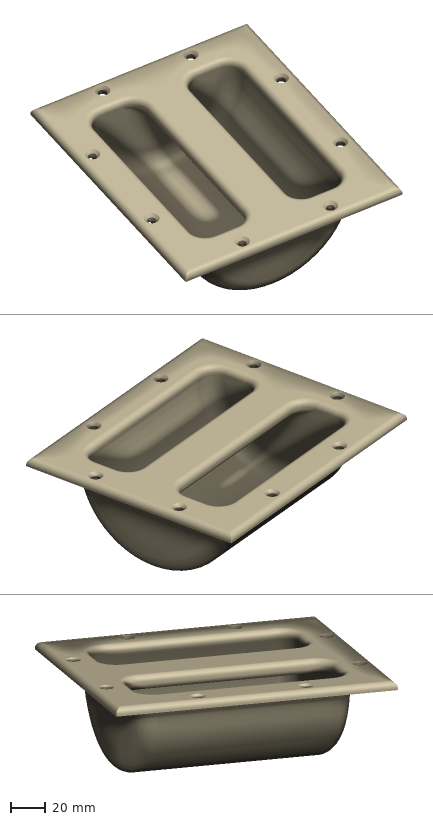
import cadquery as cq

plate_length = 173.0
plate_width = 148.0
plate_thickness = 5.0
edge_radius = 4.0

pan_radius = 55.0
pan_length = 132.9
wall = 3.0
pan_end_radius = 10.0
cavity_radius = pan_radius - wall
cavity_length = pan_length - 2 * wall
cavity_end_radius = 10.5

opening_outer_y = 50.9
opening_inner_y = 14.7
opening_corner_radius = cavity_end_radius
opening_width = opening_outer_y - opening_inner_y
opening_center_y = (opening_outer_y + opening_inner_y) / 2

bar_width = 75.8
ledge_thickness = plate_thickness - edge_radius
grip_drop = edge_radius
grip_thickness = plate_thickness + grip_drop

hole_diameter = 5.4
countersink_diameter = 9.0
countersink_angle = 90
flange_hole_x = 33.0
flange_hole_y = 64.4
bar_hole_x = 77.8
bar_hole_y = 30.1


def make_half_drum(radius, length, end_radius):
    """Lower half of a cylinder along X, flat side at Z = 0, with rounded end rims."""
    drum = cq.Workplane("YZ").workplane(offset=-length / 2).circle(radius).extrude(length)
    drum = drum.edges("%CIRCLE").fillet(end_radius)
    lower_half = cq.Workplane("XY").box(
        length, 2 * radius, radius, centered=(True, True, False)
    ).translate((0, 0, -radius))
    return drum.intersect(lower_half)


def make_opening_cutter(center_y):
    """Rounded opening through the plate and past the underside of the grip."""
    return (
        cq.Workplane("XY")
        .workplane(offset=-grip_drop)
        .center(0, center_y)
        .rect(cavity_length, opening_width)
        .extrude(grip_thickness)
        .edges("|Z")
        .fillet(opening_corner_radius)
    )


def make_face():
    """Complete face plate, before it is divided into the pan flange and the grip bar."""
    face = cq.Workplane("XY").box(
        plate_length, plate_width, plate_thickness, centered=(True, True, False)
    )
    for side in (-1, 1):
        face = face.cut(make_opening_cutter(side * opening_center_y))
    face = face.faces(">Z").edges().fillet(edge_radius)

    hole_points = []
    for side_x in (-1, 1):
        for side_y in (-1, 1):
            hole_points.append((side_x * flange_hole_x, side_y * flange_hole_y))
            hole_points.append((side_x * bar_hole_x, side_y * bar_hole_y))
    return (
        face.faces(">Z")
        .workplane(origin=(0, 0, plate_thickness))
        .pushPoints(hole_points)
        .cskHole(hole_diameter, countersink_diameter, countersink_angle)
    )


def make_bar_space():
    """Space taken by the bar: above the end ledges, and full depth over the cavity."""
    above_ledges = (
        cq.Workplane("XY")
        .workplane(offset=ledge_thickness)
        .rect(plate_length, bar_width)
        .extrude(edge_radius)
    )
    over_cavity = cq.Workplane("XY").rect(cavity_length, bar_width).extrude(plate_thickness)
    return above_ledges.union(over_cavity)


def make_pan(face, bar_space):
    """Half-round shell with its flange, recessed for the grip bar."""
    shell = make_half_drum(pan_radius, pan_length, pan_end_radius).cut(
        make_half_drum(cavity_radius, cavity_length, cavity_end_radius)
    )
    return face.cut(bar_space).union(shell)


def make_grip_underside():
    """Rounded thickening of the bar below the plate, following the openings."""
    slab = (
        cq.Workplane("XY")
        .workplane(offset=-grip_drop)
        .rect(plate_length, plate_width)
        .extrude(grip_thickness)
    )
    for side in (-1, 1):
        slab = slab.cut(make_opening_cutter(side * opening_center_y))
    slab = slab.faces("<Z").edges().fillet(edge_radius)
    grip_space = (
        cq.Workplane("XY")
        .workplane(offset=-grip_drop)
        .rect(cavity_length, 2 * opening_center_y)
        .extrude(grip_drop)
    )
    return slab.intersect(grip_space)


def make_grip_bar(face, bar_space):
    """Crosswise bar between the two hand openings, with wide screwed ends."""
    return face.intersect(bar_space).union(make_grip_underside())


face = make_face()
bar_space = make_bar_space()
pan = make_pan(face, bar_space)
grip_bar = make_grip_bar(face, bar_space)

result = cq.Compound.makeCompound([pan.solids().val(), grip_bar.solids().val()])